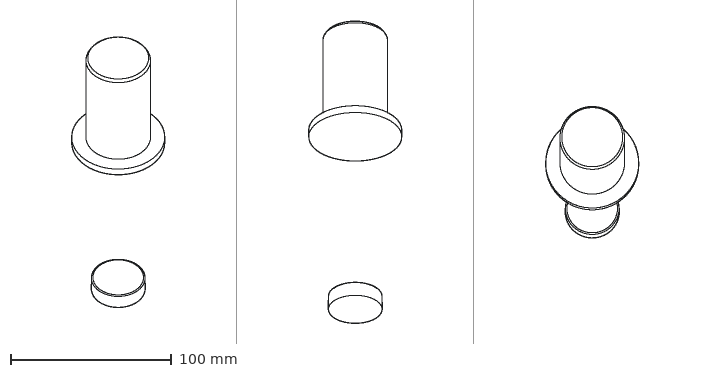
import cadquery as cq

total_height = 199.0

pin_height = 72.8
pin_radius = 20.0
flange_radius = 28.95
flange_thickness = 5.0
tip_chamfer_height = 2.0
tip_chamfer_width = 1.2

disc_top = 10.3
disc_top_radius = 16.7
disc_bottom_radius = 17.0
top_bevel_width = 1.0
top_bevel_height = 0.4
bottom_bevel_width = 0.2
bottom_bevel_height = 1.0
underside_cone_height = 0.4
dish_depth = 0.2
dish_floor_radius = 9.0


def make_flanged_pin():
    """Round pin with a base flange and a tapered tip."""
    base = total_height - pin_height
    flange = cq.Workplane("XY", origin=(0, 0, base)).circle(flange_radius).extrude(flange_thickness)
    shank_profile = [
        (0, base),
        (pin_radius, base),
        (pin_radius, total_height - tip_chamfer_height),
        (pin_radius - tip_chamfer_width, total_height),
        (0, total_height),
    ]
    shank = cq.Workplane("XZ").polyline(shank_profile).close().revolve(360, (0, 0), (0, 1))
    return flange.union(shank)


def make_foot_disc():
    """Slightly tapered disc with a shallow dished top and a shallow conical underside."""
    disc_profile = [
        (0, 0),
        (disc_bottom_radius - bottom_bevel_width, underside_cone_height),
        (disc_bottom_radius, underside_cone_height + bottom_bevel_height),
        (disc_top_radius, disc_top - top_bevel_height),
        (disc_top_radius - top_bevel_width, disc_top),
        (dish_floor_radius, disc_top - dish_depth),
        (0, disc_top - dish_depth),
    ]
    return cq.Workplane("XZ").polyline(disc_profile).close().revolve(360, (0, 0), (0, 1))


flanged_pin = make_flanged_pin()
foot_disc = make_foot_disc()
result = cq.Compound.makeCompound([flanged_pin.val(), foot_disc.val()])